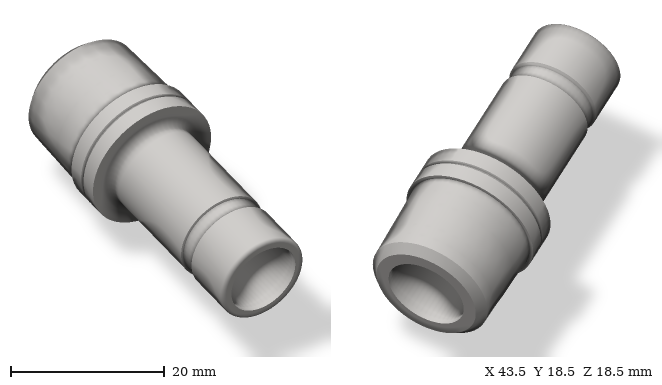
import cadquery as cq


taper_rise = 1 / 32
gauge_x = 6.05
gauge_radius = 8.53
tip_chamfer = 1.15

collar_start = 12.5
collar_width = 5.0
collar_diameter = 18.5
collar_groove_width = 0.55
collar_groove_floor = 0.2
collar_groove_depth = 0.283

total_length = 43.5
tube_radius = 6.35
collar_fillet = 1.0
end_round = 0.52

ring_groove_start = 33.75
ring_groove_end = 36.2
ring_groove_depth = 0.35
ring_groove_near_slope = 0.1
ring_groove_far_slope = 0.35

plug_bore_radius = 5.5
tube_bore_radius = 5.0
bore_step_run = 0.3

collar_end = collar_start + collar_width
collar_middle = collar_start + collar_width / 2
collar_radius = collar_diameter / 2


def plug_radius(x):
    """Radius of the tapered plug at position x."""
    return gauge_radius + (x - gauge_x) * taper_rise


def add_plug(profile):
    """Face, tip chamfer and taper; the gauge plane stays as an edge."""
    tip_radius = plug_radius(tip_chamfer)
    return (
        profile.lineTo(0, tip_radius - tip_chamfer)
        .lineTo(tip_chamfer, tip_radius)
        .lineTo(gauge_x, gauge_radius)
        .lineTo(collar_start, plug_radius(collar_start))
    )


def add_collar(profile):
    """Collar with a narrow sloped-wall groove around its middle."""
    groove_radius = collar_radius - collar_groove_depth
    return (
        profile.lineTo(collar_start, collar_radius)
        .lineTo(collar_middle - collar_groove_width / 2, collar_radius)
        .lineTo(collar_middle - collar_groove_floor / 2, groove_radius)
        .lineTo(collar_middle + collar_groove_floor / 2, groove_radius)
        .lineTo(collar_middle + collar_groove_width / 2, collar_radius)
        .lineTo(collar_end, collar_radius)
    )


def add_tube(profile):
    """Root fillet, tube, ring groove and rounded end."""
    floor_radius = tube_radius - ring_groove_depth
    return (
        profile.lineTo(collar_end, tube_radius + collar_fillet)
        .radiusArc((collar_end + collar_fillet, tube_radius), -collar_fillet)
        .lineTo(ring_groove_start, tube_radius)
        .lineTo(ring_groove_start + ring_groove_near_slope, floor_radius)
        .lineTo(ring_groove_end - ring_groove_far_slope, floor_radius)
        .lineTo(ring_groove_end, tube_radius)
        .lineTo(total_length - end_round, tube_radius)
        .radiusArc((total_length, tube_radius - end_round), end_round)
    )


def add_bore(profile):
    """Bore walls from the tube end back to the plug face."""
    return (
        profile.lineTo(total_length, tube_bore_radius)
        .lineTo(collar_end + bore_step_run, tube_bore_radius)
        .lineTo(collar_end, plug_bore_radius)
        .lineTo(0, plug_bore_radius)
    )


half_section = cq.Workplane("XY").moveTo(0, plug_bore_radius)
for add_section in (add_plug, add_collar, add_tube, add_bore):
    half_section = add_section(half_section)

result = half_section.close().revolve(360, (0, 0, 0), (1, 0, 0), clean=False)